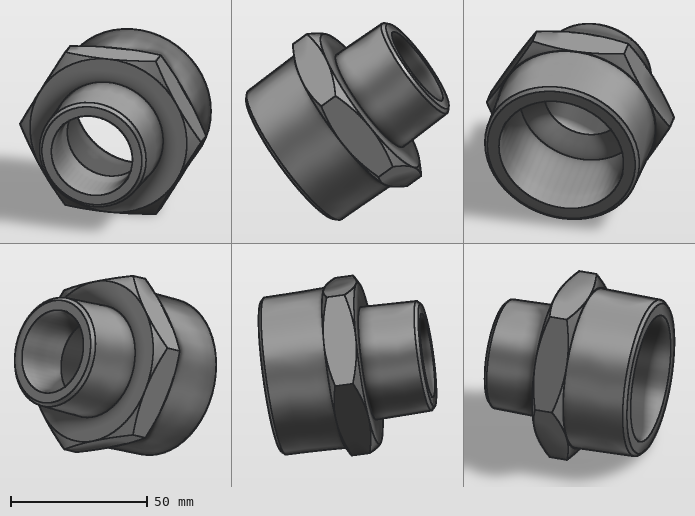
import cadquery as cq
import math

across_corners = 69.3
across_flats = across_corners * math.cos(math.pi / 6)
collar_length = 12.0

small_length = 21.95
small_root_diameter = 41.85
small_end_diameter = 40.75
large_length = 24.05
large_root_diameter = 59.5
large_end_diameter = 58.4
end_chamfer = 1.25

bore_diameter = 31.0

corner_bevel_angle = 30.0

large_bore_diameter = 47.1
shoulder_start = 21.0
shoulder_half_angle = 60.0

small_collar_face = small_length
large_collar_face = small_collar_face + collar_length
large_end_face = large_collar_face + large_length


def revolve_about_pipe_axis(profile):
    """Turn a closed (radius, y) outline into a solid of revolution."""
    return cq.Workplane("XY").polyline(profile).close().revolve(360, (0, 0, 0), (0, 1, 0))


def tapered_end(root_y, root_diameter, end_y, end_diameter):
    """Tapered spigot from the collar face to a chamfered end face."""
    outward = math.copysign(1, end_y - root_y)
    end_radius = end_diameter / 2
    return revolve_about_pipe_axis([
        (0, root_y),
        (root_diameter / 2, root_y),
        (end_radius, end_y - outward * end_chamfer),
        (end_radius - end_chamfer, end_y),
        (0, end_y),
    ])


def hexagon_collar():
    """Hexagon with its corners bevelled by a cone touching the flats at each face."""
    hexagon = (
        cq.Workplane("XZ", origin=(0, large_collar_face, 0))
        .polygon(6, across_corners)
        .extrude(collar_length)
    )
    face_radius = across_flats / 2
    corner_radius = across_corners / 2
    bevel_length = (corner_radius - face_radius) * math.tan(math.radians(corner_bevel_angle))
    envelope = revolve_about_pipe_axis([
        (0, small_collar_face),
        (face_radius, small_collar_face),
        (corner_radius, small_collar_face + bevel_length),
        (corner_radius, large_collar_face - bevel_length),
        (face_radius, large_collar_face),
        (0, large_collar_face),
    ])
    return hexagon.intersect(envelope)


def stepped_bore():
    """Through bore that opens along a cone into the wider bore of the large end."""
    bore_radius = bore_diameter / 2
    large_bore_radius = large_bore_diameter / 2
    shoulder_length = (large_bore_radius - bore_radius) / math.tan(math.radians(shoulder_half_angle))
    return revolve_about_pipe_axis([
        (0, 0),
        (bore_radius, 0),
        (bore_radius, shoulder_start),
        (large_bore_radius, shoulder_start + shoulder_length),
        (large_bore_radius, large_end_face),
        (0, large_end_face),
    ])


result = (
    hexagon_collar()
    .union(tapered_end(small_collar_face, small_root_diameter, 0, small_end_diameter))
    .union(tapered_end(large_collar_face, large_root_diameter, large_end_face, large_end_diameter))
    .cut(stepped_bore())
)